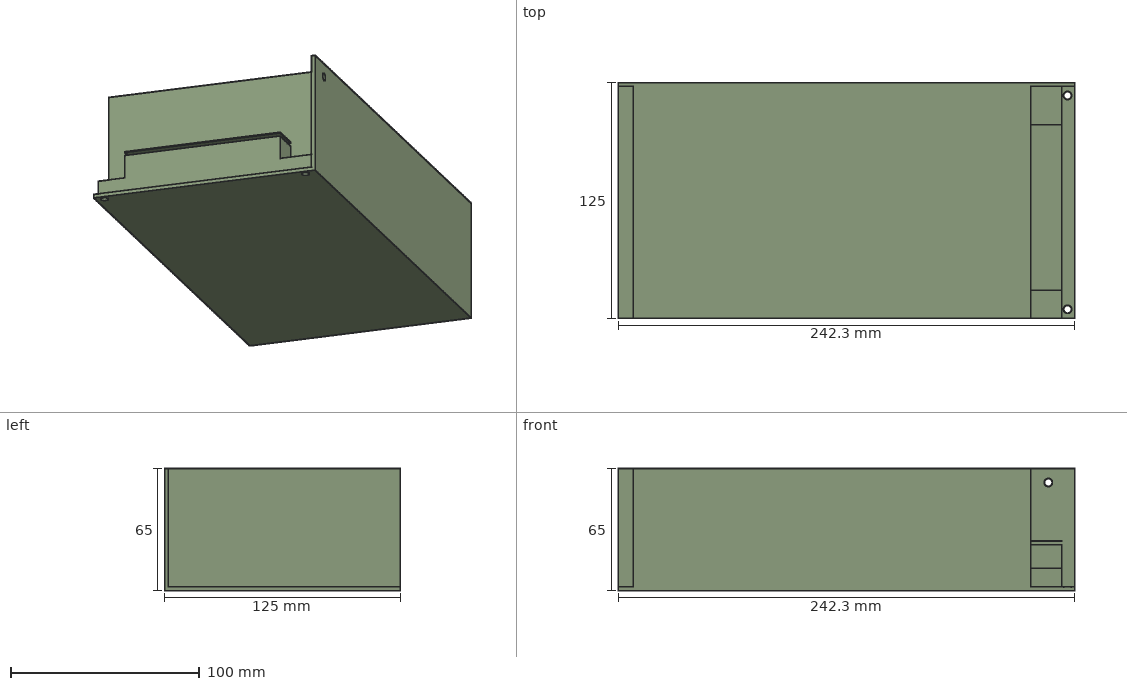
import cadquery as cq

LENGTH = 242.3
WIDTH = 125.0
HEIGHT = 65.0
SHEET = 2.0
REAR_LIP = 8.0
FRONT_LIP = 23.5

HOLE_DIAMETER = 4.0
FLOOR_HOLE_FROM_END = 3.9
FLOOR_HOLE_YS = (4.8, 118.2)
WALL_HOLE_FROM_END = 14.0
WALL_HOLE_Z = 57.5

TERMINAL_DEPTH = 16.5
TERMINAL_BASE_TOP = 11.9
TERMINAL_TOP = 24.5
RAISED_Y_START = 15.0
RAISED_Y_END = 102.7

COVER_BOTTOM = 26.2
COVER_THICKNESS = 0.5

WALL_INNER_Y = WIDTH - SHEET
CASE_START_X = REAR_LIP
CASE_END_X = LENGTH - FRONT_LIP
RAISED_WIDTH = RAISED_Y_END - RAISED_Y_START


def block(length, width, height, corner):
    """Box with its lowest X, Y, Z corner at the given point."""
    return cq.Workplane("XY").box(length, width, height, centered=False).translate(corner)


def make_chassis():
    """Bracket floor, bracket wall and case as one solid."""
    floor = block(LENGTH, WIDTH, SHEET, (0, 0, 0))
    wall = block(LENGTH, SHEET, HEIGHT, (0, WALL_INNER_Y, 0))
    case = block(CASE_END_X - CASE_START_X, WIDTH, HEIGHT, (CASE_START_X, 0, 0))
    chassis = floor.union(wall).union(case)

    floor_holes = (
        cq.Workplane("XY")
        .pushPoints([(LENGTH - FLOOR_HOLE_FROM_END, y) for y in FLOOR_HOLE_YS])
        .circle(HOLE_DIAMETER / 2)
        .extrude(SHEET)
    )
    wall_hole = (
        cq.Workplane("XZ", origin=(0, WIDTH, 0))
        .center(LENGTH - WALL_HOLE_FROM_END, WALL_HOLE_Z)
        .circle(HOLE_DIAMETER / 2)
        .extrude(SHEET)
    )
    return chassis.cut(floor_holes).cut(wall_hole)


def make_terminal_block():
    """Low base across the full lip, with a raised middle."""
    base = block(TERMINAL_DEPTH, WALL_INNER_Y, TERMINAL_BASE_TOP - SHEET, (CASE_END_X, 0, SHEET))
    raised = block(
        TERMINAL_DEPTH, RAISED_WIDTH, TERMINAL_TOP - SHEET, (CASE_END_X, RAISED_Y_START, SHEET)
    )
    return base.union(raised)


def make_cover():
    """Thin plate fixed to the case, clear of the terminal block below it."""
    return block(
        TERMINAL_DEPTH, RAISED_WIDTH, COVER_THICKNESS, (CASE_END_X, RAISED_Y_START, COVER_BOTTOM)
    )


chassis = make_chassis()
terminal_block = make_terminal_block()
cover = make_cover()

result = cq.Compound.makeCompound([chassis.val(), terminal_block.val(), cover.val()])